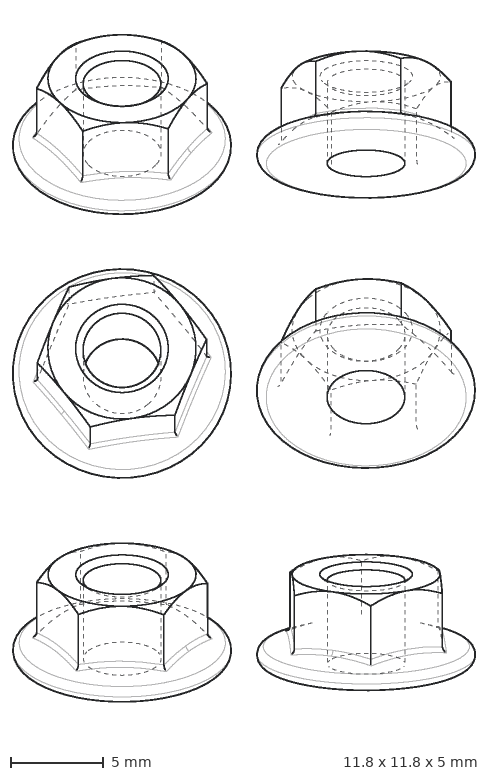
import cadquery as cq
import math

flange_diameter = 11.8
height = 5.0
across_flats = 8.0
hole_diameter = 4.2
countersink_diameter = 5.0
countersink_angle = 100.0
rim_radius = 0.5
flange_slope = 20.0
crown_slope = 39.0
root_fillet = 0.3

flange_radius = flange_diameter / 2
hole_radius = hole_diameter / 2
flat_radius = across_flats / 2
across_corners = across_flats / math.cos(math.radians(30))
rim_center = flange_radius - rim_radius
slope_angle = math.radians(flange_slope)
slope_start_radius = rim_center + rim_radius * math.sin(slope_angle)
slope_start_height = rim_radius * (1 + math.cos(slope_angle))


def make_flange():
    """Conical flange with a rounded rim, revolved about Z."""
    apex_height = slope_start_height + slope_start_radius * math.tan(slope_angle)
    return (
        cq.Workplane("XZ")
        .lineTo(rim_center, 0)
        .threePointArc((flange_radius, rim_radius), (slope_start_radius, slope_start_height))
        .lineTo(0, apex_height)
        .close()
        .revolve(360, (0, 0), (0, 1))
    )


def make_hex():
    """Hexagonal prism with its corners on the Y axis."""
    return cq.Workplane("XY").polygon(6, across_corners).extrude(height).rotate((0, 0, 0), (0, 0, 1), 30)


def make_crown():
    """Revolved envelope whose cone trims the top corners of the hexagon."""
    crown_drop = (flange_radius - flat_radius) * math.tan(math.radians(crown_slope))
    return (
        cq.Workplane("XZ")
        .lineTo(flange_radius, 0)
        .lineTo(flange_radius, height - crown_drop)
        .lineTo(flat_radius, height)
        .lineTo(0, height)
        .close()
        .revolve(360, (0, 0), (0, 1))
    )


root_zone_top = height / 2
root_zone = cq.selectors.BoxSelector(
    (-across_corners, -across_corners, slope_start_height + root_fillet),
    (across_corners, across_corners, root_zone_top),
)

body = make_flange().union(make_hex())
body = body.edges(root_zone).edges("not |Z").fillet(root_fillet)
body = body.intersect(make_crown())

result = (
    body.faces(">Z")
    .workplane(origin=(0, 0, height))
    .cskHole(hole_diameter, countersink_diameter, countersink_angle)
)